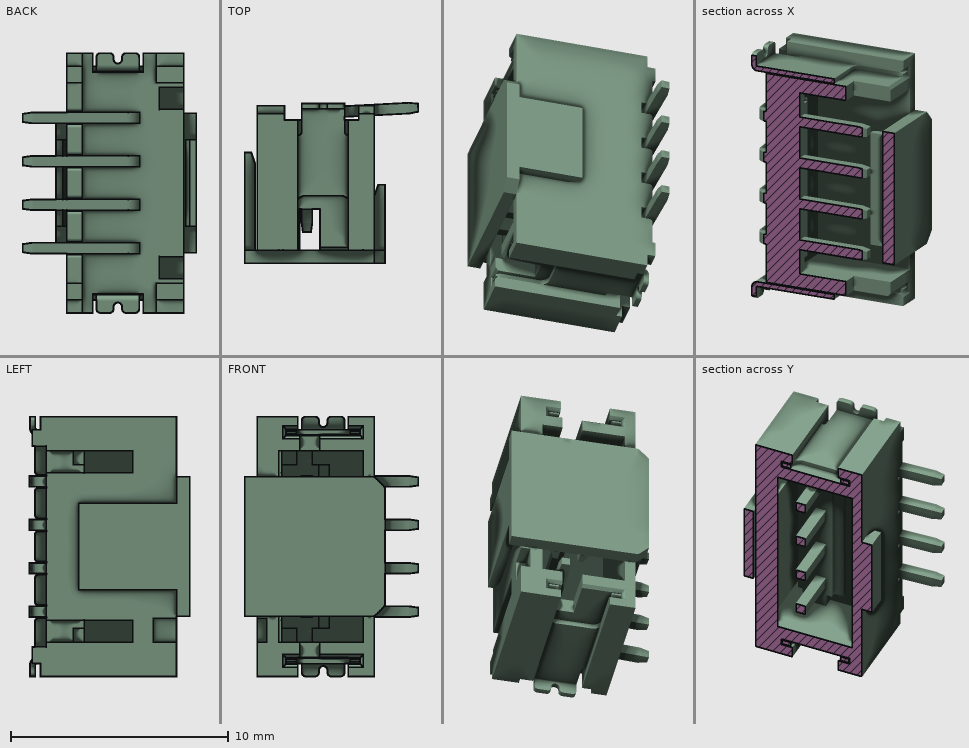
import cadquery as cq
import math

TOTAL_X = 8.0
TOTAL_Y = 7.39
HALF_Z = 5.98

COVER_X = 6.46
COVER_Y = 0.61
COVER_Z = 6.43
COVER_CHAMFER = 0.5
CLIP_Z = 3.99
LEFT_CLIP_THICKNESS = 0.49
LEFT_CLIP_TOP = 5.1
RIGHT_CLIP_TOP = 3.62
CLIP_LEAD_X = 0.18
CLIP_LEAD_Y = 0.51
RIB_THICKNESS = 0.43
RIB_TOP = 1.65
RIB_Z = 5.45

BODY_X0 = 0.57
BODY_X1 = COVER_X - COVER_CHAMFER
BODY_BACK = 6.6
END_BACK = 6.87
FOOT_BACK = 7.25
FOOT_Z0 = 4.61
FOOT_Z1 = 5.37
LEFT_FOOT_X1 = 1.84
RIGHT_FOOT_X0 = 5.25
COMB_BACK = 7.12
COMB_RADIUS = 0.15

CAVITY_X0 = 1.71
CAVITY_X1 = 5.46
CAVITY_HALF_Z = 4.4
CAVITY_FLOOR = 4.86
CAVITY_MOUTH_X0 = 1.58
CAVITY_MOUTH_Y = 1.2
FLOOR_RECESS_Y = 5.35
FLOOR_STEP_Y = 5.1
PLATEAU_X1 = 3.42
STEP_X1 = 3.9
PLATEAU_HALF_Z = 3.75
TONGUE_X0 = 2.4
TONGUE_X1 = 3.11

WINDOW_Y0 = 2.63
WINDOW_Z0 = 3.38
KEYWAY_X0 = 2.53
KEYWAY_X1 = 3.47
KEYWAY_Y1 = 2.5
CORNER_NOTCH_X1 = 1.02
CORNER_NOTCH_Y1 = 1.67
CORNER_NOTCH_Z0 = 3.29

PLATE_THICKNESS = 0.25
PLATE_Z1 = 5.38
PLATE_Z0 = PLATE_Z1 - PLATE_THICKNESS
PLATE_X0 = 1.92
PLATE_X1 = 5.29
PLATE_FRONT = 0.67
PLATE_SHOULDER = 5.89
PLATE_NOTCH_X0 = 2.37
PLATE_NOTCH_X1 = 4.86
PLATE_NOTCH_Y1 = 3.11
PLATE_NOTCH_RADIUS = 0.42
ARM_TIP_CHAMFER_Y = 0.2
ARM_TIP_CHAMFER_Z = 0.08
TAB_X0 = 2.63
TAB_X1 = 4.6
TAB_BACK = 7.35
TAB_RADIUS = 0.19
TAB_SLOT_WIDTH = 0.38
TAB_SLOT_Z0 = 5.5
SHOULDER_RADIUS = 0.17
BEND_RADIUS = 0.05
CHANNEL_X0 = 2.45
CHANNEL_X1 = 4.76
LEAD_IN = 0.14
POCKET_CLEARANCE = 0.02
LEAD_IN_DEPTH = 0.13

PIN_COUNT = 4
PIN_PITCH = 2.0
PIN_WIDTH = 0.5
PIN_X = 2.87
PIN_FRONT = 1.43
PIN_TIP_LENGTH = 0.43
PIN_TIP_TAPER = 8.0
PIN_TILT = 3.0
PIN_OUTER_BEND = 0.6
PIN_INNER_BEND = 0.1
PIN_GAP = 0.6

pin_centers = [(i - (PIN_COUNT - 1) / 2) * PIN_PITCH for i in range(PIN_COUNT)]


def block(x0, x1, y0, y1, z0, z1):
    """Box given by its limits along each axis."""
    return cq.Workplane("XY").box(x1 - x0, y1 - y0, z1 - z0, centered=False).translate((x0, y0, z0))


def both_ends(shape):
    """The shape together with its mirror image about mid-height."""
    return shape.union(shape.mirror("XY"))


def clip_wall(flat_x, lead_x, top, height):
    """Wall rising along Y from the cover, with a sloped lead at its tip on the lead_x side."""
    lead = math.copysign(CLIP_LEAD_X, flat_x - lead_x)
    return (
        cq.Workplane("XY")
        .polyline([
            (flat_x, 0),
            (flat_x, top),
            (lead_x + lead, top),
            (lead_x, top - CLIP_LEAD_Y),
            (lead_x, 0),
        ])
        .close()
        .extrude(height / 2, both=True)
    )


def make_cover():
    plate = block(0, COVER_X, 0, COVER_Y, -COVER_Z / 2, COVER_Z / 2)
    plate = plate.edges("|Y and >X").chamfer(COVER_CHAMFER)
    left = clip_wall(0, LEFT_CLIP_THICKNESS, LEFT_CLIP_TOP, CLIP_Z)
    right = clip_wall(COVER_X, BODY_X1, RIGHT_CLIP_TOP, CLIP_Z)
    left_rib = clip_wall(KEYWAY_X0, KEYWAY_X0 - RIB_THICKNESS, RIB_TOP, RIB_Z)
    right_rib = clip_wall(KEYWAY_X1, KEYWAY_X1 + RIB_THICKNESS, RIB_TOP, RIB_Z)
    return plate.union(left).union(right).union(left_rib).union(right_rib)


def make_cavity():
    """Space to remove for the mating plug, including the steps of its floor."""
    well = block(CAVITY_X0, CAVITY_X1, COVER_Y, FLOOR_RECESS_Y, -CAVITY_HALF_Z, CAVITY_HALF_Z)
    mouth = block(CAVITY_MOUTH_X0, CAVITY_X1, COVER_Y, CAVITY_MOUTH_Y, -CAVITY_HALF_Z, CAVITY_HALF_Z)
    plateau = block(CAVITY_X0, PLATEAU_X1, CAVITY_FLOOR, FLOOR_RECESS_Y, -PLATEAU_HALF_Z, PLATEAU_HALF_Z)
    tongue = block(TONGUE_X0, TONGUE_X1, CAVITY_FLOOR, FLOOR_RECESS_Y, -CAVITY_HALF_Z, CAVITY_HALF_Z)
    step = block(PLATEAU_X1, STEP_X1, FLOOR_STEP_Y, FLOOR_RECESS_Y, -PLATEAU_HALF_Z, PLATEAU_HALF_Z)
    return well.union(mouth).cut(plateau).cut(tongue).cut(step)


def make_comb():
    """Rounded teeth on the right wall that separate the pins."""
    edges = [-FOOT_Z0]
    for z in pin_centers:
        edges += [z - PIN_GAP / 2, z + PIN_GAP / 2]
    edges.append(FOOT_Z0)
    teeth = cq.Workplane("XY")
    for z0, z1 in zip(edges[::2], edges[1::2]):
        tooth = block(RIGHT_FOOT_X0, BODY_X1, BODY_BACK, COMB_BACK, z0, z1)
        if z0 > -FOOT_Z0:
            tooth = tooth.edges("|X and >Y and <Z").fillet(COMB_RADIUS)
        if z1 < FOOT_Z0:
            tooth = tooth.edges("|X and >Y and >Z").fillet(COMB_RADIUS)
        teeth = teeth.union(tooth)
    return teeth


def plate_pocket():
    """Slot for one hold-down plate, flared where it opens on the front face."""
    x0 = PLATE_X0 - POCKET_CLEARANCE
    x1 = PLATE_X1 + POCKET_CLEARANCE
    z0 = PLATE_Z0 - POCKET_CLEARANCE
    z1 = PLATE_Z1 + POCKET_CLEARANCE
    slot = block(x0, x1, COVER_Y, PLATE_SHOULDER, z0, z1)
    flare = (
        cq.Workplane("XZ", origin=((x0 + x1) / 2, COVER_Y, (z0 + z1) / 2))
        .rect(x1 - x0 + 2 * LEAD_IN, z1 - z0 + 2 * LEAD_IN)
        .workplane(offset=-LEAD_IN_DEPTH)
        .rect(x1 - x0, z1 - z0)
        .loft()
    )
    channel = block(CHANNEL_X0, CHANNEL_X1, COVER_Y, FOOT_BACK, z0, HALF_Z)
    return slot.union(flare).union(channel)


def make_body():
    body = block(BODY_X0, BODY_X1, COVER_Y, BODY_BACK, -HALF_Z, HALF_Z)
    for x0, x1 in ((BODY_X0, LEFT_FOOT_X1), (RIGHT_FOOT_X0, BODY_X1)):
        end = block(x0, x1, BODY_BACK, END_BACK, FOOT_Z0, HALF_Z)
        foot = block(x0, x1, BODY_BACK, FOOT_BACK, FOOT_Z0, FOOT_Z1)
        body = body.union(both_ends(end.union(foot)))
    body = body.union(make_comb()).cut(make_cavity()).cut(both_ends(plate_pocket()))

    window = block(BODY_X0, CAVITY_X0, WINDOW_Y0, BODY_BACK, WINDOW_Z0, CAVITY_HALF_Z)
    keyway = block(KEYWAY_X0, KEYWAY_X1, COVER_Y, KEYWAY_Y1, CAVITY_HALF_Z, PLATE_Z0)
    corner_notch = block(
        BODY_X0, CORNER_NOTCH_X1, COVER_Y, CORNER_NOTCH_Y1, -CAVITY_HALF_Z, -CORNER_NOTCH_Z0
    )
    return body.cut(both_ends(window.union(keyway))).cut(corner_notch)


def make_hold_down():
    """Upper hold-down: forked plate lying in its slot, narrowed and bent up at the back."""
    fork = block(PLATE_X0, PLATE_X1, PLATE_FRONT, PLATE_SHOULDER, PLATE_Z0, PLATE_Z1)
    notch = block(PLATE_NOTCH_X0, PLATE_NOTCH_X1, PLATE_FRONT, PLATE_NOTCH_Y1, PLATE_Z0, PLATE_Z1)
    notch = notch.edges("|Z and >Y").fillet(PLATE_NOTCH_RADIUS)
    fork = fork.cut(notch)
    for end, inward in ((PLATE_Z0, ARM_TIP_CHAMFER_Z), (PLATE_Z1, -ARM_TIP_CHAMFER_Z)):
        bevel = (
            cq.Workplane("YZ", origin=(PLATE_X0, 0, 0))
            .polyline([
                (PLATE_FRONT, end),
                (PLATE_FRONT + ARM_TIP_CHAMFER_Y, end),
                (PLATE_FRONT, end + inward),
            ])
            .close()
            .extrude(PLATE_X1 - PLATE_X0)
        )
        fork = fork.cut(bevel)

    slot_x = (TAB_X0 + TAB_X1) / 2
    neck = block(TAB_X0, TAB_X1, PLATE_SHOULDER, TAB_BACK, PLATE_Z0, PLATE_Z1)
    plate = fork.union(neck)
    for x in (TAB_X0, TAB_X1):
        corner = (x, PLATE_SHOULDER, (PLATE_Z0 + PLATE_Z1) / 2)
        plate = plate.edges(cq.NearestToPointSelector(corner)).fillet(SHOULDER_RADIUS)

    tab_front = TAB_BACK - PLATE_THICKNESS
    tab = block(TAB_X0, TAB_X1, tab_front, TAB_BACK, PLATE_Z0, HALF_Z)
    bent = plate.union(tab)
    inner_bend = (slot_x, tab_front, PLATE_Z1)
    outer_bend = (slot_x, TAB_BACK, PLATE_Z0)
    bent = bent.edges(cq.NearestToPointSelector(inner_bend)).fillet(BEND_RADIUS)
    bent = bent.edges(cq.NearestToPointSelector(outer_bend)).fillet(BEND_RADIUS + PLATE_THICKNESS)

    half_slot = TAB_SLOT_WIDTH / 2
    slot = block(slot_x - half_slot, slot_x + half_slot, tab_front, TAB_BACK, TAB_SLOT_Z0 + half_slot, HALF_Z)
    slot_end = cq.Workplane("XZ", origin=(slot_x, TAB_BACK, TAB_SLOT_Z0 + half_slot))
    slot = slot.union(slot_end.circle(half_slot).extrude(PLATE_THICKNESS))
    return bent.cut(slot).faces(">Z").edges("|Y").fillet(TAB_RADIUS)


def pin_tip(center, direction):
    """Tapered tip growing from the end of a pin."""
    plane = cq.Plane(origin=center, xDir=(0, 0, 1), normal=direction)
    return cq.Workplane(plane).rect(PIN_WIDTH, PIN_WIDTH).extrude(PIN_TIP_LENGTH, taper=PIN_TIP_TAPER)


def make_pin():
    """Bent pin centered on Z = 0: a straight leg along Y and a slightly rising tail along X."""
    tilt = math.radians(PIN_TILT)
    half = PIN_WIDTH / 2
    tip_half = half - PIN_TIP_LENGTH * math.tan(math.radians(PIN_TIP_TAPER))
    across_x = -half * math.sin(tilt)
    across_y = half * math.cos(tilt)
    tail_x = TOTAL_X - PIN_TIP_LENGTH * math.cos(tilt) - tip_half * math.sin(tilt)
    tail_y = TOTAL_Y - across_y
    leg_end = PIN_FRONT + PIN_TIP_LENGTH

    upper = (tail_x + across_x, tail_y + across_y)
    lower = (tail_x - across_x, tail_y - across_y)
    outer_x = PIN_X - half
    inner_x = PIN_X + half
    outer_corner = (outer_x, upper[1] - (upper[0] - outer_x) * math.tan(tilt))
    inner_corner = (inner_x, lower[1] - (lower[0] - inner_x) * math.tan(tilt))
    shaft = (
        cq.Workplane("XY")
        .polyline([(outer_x, leg_end), outer_corner, upper, lower, inner_corner, (inner_x, leg_end)])
        .close()
        .extrude(half, both=True)
    )
    shaft = shaft.edges(cq.NearestToPointSelector((*outer_corner, 0))).fillet(PIN_OUTER_BEND)
    shaft = shaft.edges(cq.NearestToPointSelector((*inner_corner, 0))).fillet(PIN_INNER_BEND)

    leg_tip = pin_tip((PIN_X, leg_end, 0), (0, -1, 0))
    tail_tip = pin_tip((tail_x, tail_y, 0), (math.cos(tilt), math.sin(tilt), 0))
    return shaft.union(leg_tip).union(tail_tip)


result = make_body().union(make_cover()).union(both_ends(make_hold_down()))
pin = make_pin()
for z in pin_centers:
    result = result.union(pin.translate((0, 0, z)))